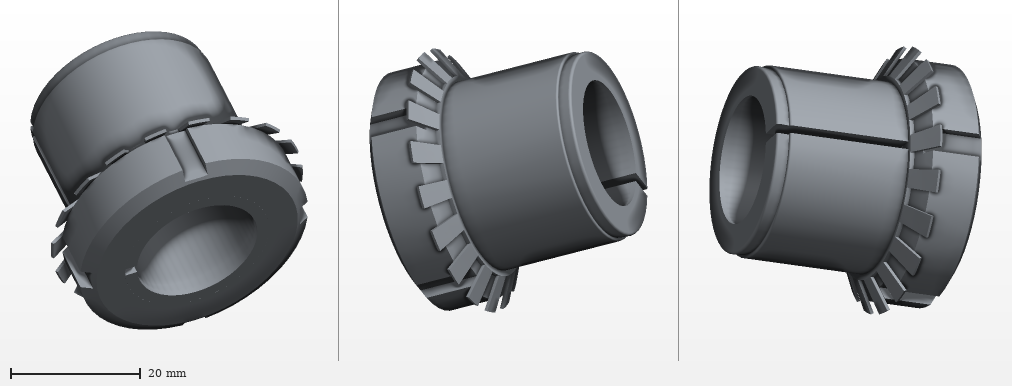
import cadquery as cq
import math


total_length = 33.0
tab_tip_radius = 20.9

bore_radius = 10.0
collar_radius = 14.65
sleeve_edge_round = 0.4
taper_small_radius = 12.9
thread_radius = 23.9 / 2
sleeve_slot_width = 1.5

bushing_start = 2.1
bushing_radius = 15.0
bushing_edge_round = 0.3
bushing_slot_width = 1.25

washer_start = 21.55
washer_bore_radius = 25.0 / 2
washer_ring_radius = 15.88
washer_thickness = 0.7
tab_thickness = 0.5
tab_count = 18
tab_root_width = 2.9
tab_tip_width = 3.55
tab_lean = math.radians(31)

nut_start = washer_start + washer_thickness
nut_radius = 18.93
nut_front_chamfer = 1.92
nut_back_chamfer = 1.3
nut_chamfer_angle = math.radians(30)
nut_slot_count = 4
nut_slot_width = 3.75
nut_slot_floor_radius = 17.15


def taper_radius(x):
    """Radius of the cone shared by the sleeve and the bushing bore."""
    return collar_radius - (collar_radius - taper_small_radius) * x / washer_start


def revolve_profile(points):
    """Revolve a closed outline of (x, radius) points about the X axis, starting on the -Y side."""
    outline = [(x, -radius) for x, radius in points]
    return cq.Workplane("XY").polyline(outline).close().revolve(360, (0, 0, 0), (1, 0, 0))


def slit(width):
    """Radial cutter on the -Y side, along the whole length."""
    return cq.Workplane("XY").box(
        total_length, tab_tip_radius, width, centered=(False, False, True)
    ).translate((0, -tab_tip_radius, 0))


def make_sleeve():
    body = revolve_profile([
        (0, bore_radius),
        (0, collar_radius),
        (washer_start, taper_small_radius),
        (washer_start, thread_radius),
        (total_length, thread_radius),
        (total_length, bore_radius),
    ])
    body = body.faces("<X").edges(cq.selectors.RadiusNthSelector(-1)).fillet(sleeve_edge_round)
    return body.cut(slit(sleeve_slot_width))


def make_bushing():
    body = revolve_profile([
        (bushing_start, taper_radius(bushing_start)),
        (bushing_start, bushing_radius),
        (washer_start, bushing_radius),
        (washer_start, taper_small_radius),
    ])
    body = body.faces("<X").edges(cq.selectors.RadiusNthSelector(-1)).fillet(bushing_edge_round)
    return body.cut(slit(bushing_slot_width))


def make_washer():
    ring = revolve_profile([
        (washer_start, washer_bore_radius),
        (washer_start, washer_ring_radius),
        (nut_start, washer_ring_radius),
        (nut_start, washer_bore_radius),
    ])

    skirt_length = (tab_tip_radius - washer_ring_radius) * math.tan(tab_lean)
    wall_x = tab_thickness * math.cos(tab_lean)
    wall_r = tab_thickness * math.sin(tab_lean)
    skirt = revolve_profile([
        (washer_start, washer_ring_radius - wall_r),
        (washer_start, washer_ring_radius),
        (washer_start + skirt_length, tab_tip_radius),
        (washer_start + skirt_length + wall_x, tab_tip_radius - wall_r),
        (washer_start + wall_x, washer_ring_radius - wall_r),
    ])

    width_slope = (tab_tip_width - tab_root_width) / (tab_tip_radius - washer_ring_radius)
    inner_y = washer_bore_radius
    outer_y = tab_tip_radius + washer_thickness
    inner_half = (tab_root_width + width_slope * (inner_y - washer_ring_radius)) / 2
    outer_half = (tab_root_width + width_slope * (outer_y - washer_ring_radius)) / 2
    tab_outline = (
        cq.Workplane("YZ")
        .polyline([(inner_y, -inner_half), (outer_y, -outer_half), (outer_y, outer_half), (inner_y, inner_half)])
        .close()
        .extrude(total_length)
    )

    washer = ring
    for i in range(tab_count):
        wedge = tab_outline.rotate((0, 0, 0), (1, 0, 0), i * 360 / tab_count)
        washer = washer.union(skirt.intersect(wedge))
    return washer


def make_nut():
    chamfer_slope = math.tan(nut_chamfer_angle)
    bore_chamfer = washer_bore_radius - thread_radius
    nut = revolve_profile([
        (nut_start + bore_chamfer, thread_radius),
        (nut_start, washer_bore_radius),
        (nut_start, nut_radius - nut_front_chamfer / chamfer_slope),
        (nut_start + nut_front_chamfer, nut_radius),
        (total_length - nut_back_chamfer, nut_radius),
        (total_length, nut_radius - nut_back_chamfer / chamfer_slope),
        (total_length, thread_radius),
    ])
    slot = cq.Workplane("XY").box(
        total_length, nut_radius, nut_slot_width, centered=(False, False, True)
    ).translate((0, nut_slot_floor_radius, 0))
    for i in range(nut_slot_count):
        nut = nut.cut(slot.rotate((0, 0, 0), (1, 0, 0), i * 360 / nut_slot_count))
    return nut


sleeve = make_sleeve()
bushing = make_bushing()
washer = make_washer()
nut = make_nut()

result = cq.Compound.makeCompound([sleeve.val(), bushing.val(), washer.val(), nut.val()])